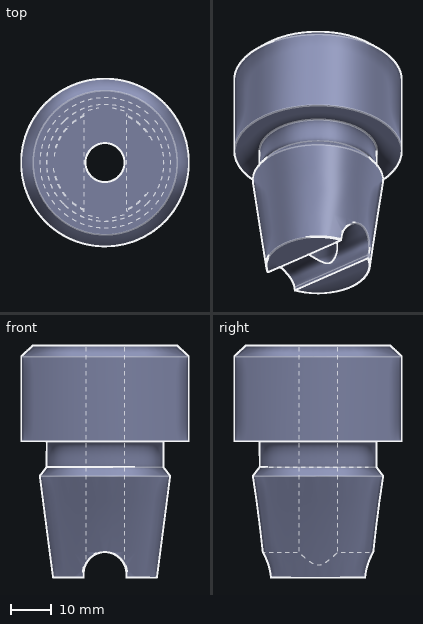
import cadquery as cq

height = 57.15
head_radius = 41.3 / 2
head_bottom = 33.55
head_chamfer_width = 2.9
head_chamfer_height = 2.7

neck_radius = 14.4
neck_bottom = 27.2
plug_top_radius = 16.05
plug_top = 25.05
plug_bottom_radius = 12.8

bore_diameter = 9.55
notch_radius = 5.2
notch_top = 6.3
notch_center = notch_top - notch_radius

edge_fillet = 0.2
selection_margin = 0.05


def turned_body():
    """Revolve the head, neck and plug about Z and round all edges above the bottom rim."""
    profile = [
        (0, 0),
        (plug_bottom_radius, 0),
        (plug_top_radius, plug_top),
        (neck_radius, neck_bottom),
        (neck_radius, head_bottom),
        (head_radius, head_bottom),
        (head_radius, height - head_chamfer_height),
        (head_radius - head_chamfer_width, height),
        (0, height),
    ]
    body = cq.Workplane("XZ").polyline(profile).close().revolve(360, (0, 0, 0), (0, 1, 0))
    return body.edges("%CIRCLE and (not <Z)").fillet(edge_fillet)


def bore():
    """Through hole along the axis."""
    return cq.Workplane("XY").circle(bore_diameter / 2).extrude(height)


def cross_notch():
    """Round-topped notch crossing the lower end along Y."""
    return (
        cq.Workplane("XZ")
        .moveTo(-notch_radius, 0)
        .lineTo(-notch_radius, notch_center)
        .threePointArc((0, notch_top), (notch_radius, notch_center))
        .lineTo(notch_radius, 0)
        .close()
        .extrude(head_radius, both=True)
    )


def mouth_edges(body):
    """Edges where the notch breaks out through the tapered wall."""
    half_width = notch_radius + selection_margin
    box_top = notch_top + selection_margin
    front_box = cq.selectors.BoxSelector(
        (-half_width, -head_radius, selection_margin),
        (half_width, -bore_diameter, box_top),
    )
    back_box = cq.selectors.BoxSelector(
        (-half_width, bore_diameter, selection_margin),
        (half_width, head_radius, box_top),
    )
    return body.edges(front_box + back_box)


def bottom_rim_edges(body):
    """Outer arcs of the two bottom faces, leaving the straight notch edges sharp."""
    return body.faces("<Z").edges("not |Y")


notched_body = turned_body().cut(cross_notch())
lower_edges = mouth_edges(notched_body).add(bottom_rim_edges(notched_body))
result = lower_edges.fillet(edge_fillet).cut(bore())